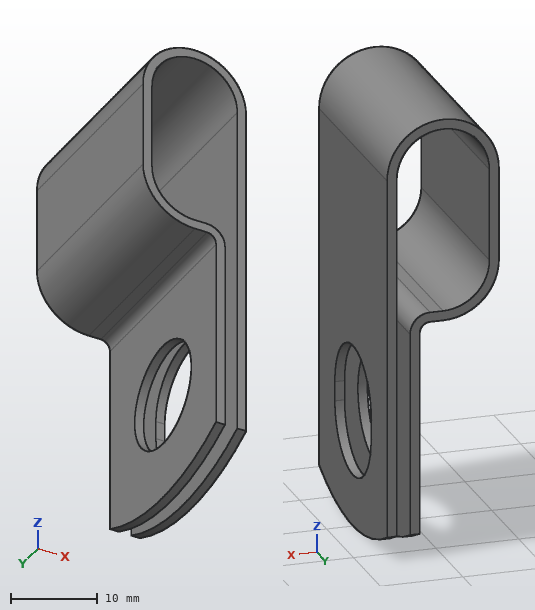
import cadquery as cq
import math

width = 13.55
depth = 25.4
height = 53.55
thickness = 1.2

loop_radius = width / 2
lower_bend_z = 35.65
leg_gap = 1.6
neck_bend_radius = 2.4

hole_diameter = 13.5
hole_z = 14.2
slot_travel = 2.35
tip_corner_z = 3.05

top_bend_z = height - loop_radius
inner_radius = loop_radius - thickness
neck_inner_radius = neck_bend_radius - thickness
inner_x = loop_radius - thickness
short_leg_outer_x = inner_x - leg_gap
short_leg_inner_x = short_leg_outer_x - thickness
gap_middle_x = inner_x - leg_gap / 2
neck_x = short_leg_outer_x - neck_bend_radius
neck_top_z = lower_bend_z - inner_radius
neck_bottom_z = lower_bend_z - loop_radius
neck_bend_z = neck_top_z - neck_bend_radius


def diagonal_point(center_x, center_z, radius, sign_x, sign_z):
    """Middle point of a quarter bend."""
    offset = radius * math.sqrt(0.5)
    return (center_x + sign_x * offset, center_z + sign_z * offset)


def bent_strip():
    """Strip of constant thickness, looped at the top with two legs below."""
    profile = (
        cq.Workplane("XZ")
        .moveTo(loop_radius, 0)
        .lineTo(loop_radius, top_bend_z)
        .threePointArc((0, height), (-loop_radius, top_bend_z))
        .lineTo(-loop_radius, lower_bend_z)
        .threePointArc(diagonal_point(0, lower_bend_z, loop_radius, -1, -1), (0, neck_bottom_z))
        .lineTo(neck_x, neck_bottom_z)
        .threePointArc(
            diagonal_point(neck_x, neck_bend_z, neck_inner_radius, 1, 1),
            (short_leg_inner_x, neck_bend_z),
        )
        .lineTo(short_leg_inner_x, 0)
        .lineTo(short_leg_outer_x, 0)
        .lineTo(short_leg_outer_x, neck_bend_z)
        .threePointArc(
            diagonal_point(neck_x, neck_bend_z, neck_bend_radius, 1, 1),
            (neck_x, neck_top_z),
        )
        .lineTo(0, neck_top_z)
        .threePointArc(
            diagonal_point(0, lower_bend_z, inner_radius, -1, -1),
            (-inner_radius, lower_bend_z),
        )
        .lineTo(-inner_radius, top_bend_z)
        .threePointArc((0, top_bend_z + inner_radius), (inner_x, top_bend_z))
        .lineTo(inner_x, 0)
        .close()
    )
    return profile.extrude(depth / 2, both=True)


def tab_outline():
    """Side silhouette with the rounded tip, extended across the full width."""
    return (
        cq.Workplane("YZ")
        .moveTo(-depth / 2, tip_corner_z)
        .threePointArc((0, 0), (depth / 2, tip_corner_z))
        .lineTo(depth / 2, height)
        .lineTo(-depth / 2, height)
        .close()
        .extrude(width, both=True)
    )


def bolt_hole():
    """Round hole through the short leg, ending in the gap between the legs."""
    return (
        cq.Workplane("YZ", origin=(gap_middle_x, 0, hole_z))
        .circle(hole_diameter / 2)
        .extrude(-width)
    )


def adjustment_slot():
    """Upright slot through the long leg, as wide as the round hole."""
    return (
        cq.Workplane("YZ", origin=(gap_middle_x, 0, hole_z))
        .slot2D(hole_diameter + slot_travel, hole_diameter, 90)
        .extrude(width)
    )


result = bent_strip().intersect(tab_outline()).cut(bolt_hole()).cut(adjustment_slot())